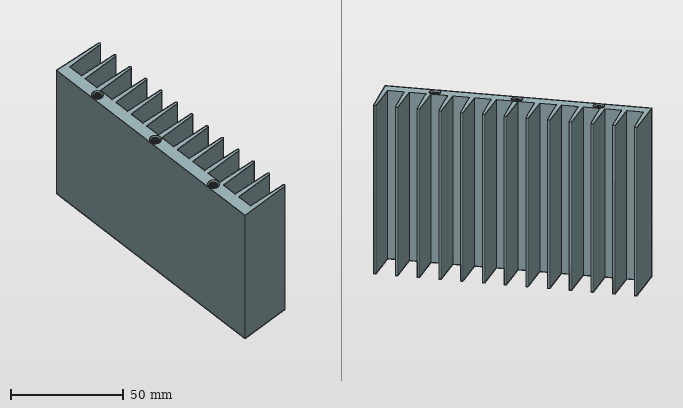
import cadquery as cq

WIDTH = 122.0
DEPTH = 25.6
HEIGHT = 80.0

BASE_THICKNESS = 5.8

FIN_COUNT = 13
FIN_FRONT_WIDTH = 2.74
FIN_TIP_RADIUS = 0.6
FIN_PITCH = (WIDTH - FIN_FRONT_WIDTH) / (FIN_COUNT - 1)

HOLE_COUNT = 3
HOLE_PITCH = 37.5
HOLE_Y = BASE_THICKNESS / 2
MOUTH_RADIUS = 2.6
THREAD_MAJOR_RADIUS = 2.0
THREAD_MINOR_RADIUS = 1.5
THREAD_PITCH = 0.7
THREAD_TURNS = 16
THREAD_CREST_WIDTH = THREAD_PITCH / 4
THREAD_ROOT_WIDTH = THREAD_PITCH / 8
THREAD_FLANK_WIDTH = (THREAD_PITCH - THREAD_CREST_WIDTH - THREAD_ROOT_WIDTH) / 2
COUNTERSINK_DEPTH = MOUTH_RADIUS - THREAD_MAJOR_RADIUS
HOLE_DEPTH = COUNTERSINK_DEPTH + THREAD_TURNS * THREAD_PITCH


def centred_positions(count, pitch):
    """Evenly spaced positions, symmetric about zero."""
    return [(i - (count - 1) / 2) * pitch for i in range(count)]


def make_fin(x):
    """Tapered fin with a round tip, centred on x, reaching through the base to its front face."""
    half_front = FIN_FRONT_WIDTH / 2
    shoulder_y = DEPTH - FIN_TIP_RADIUS
    return (
        cq.Workplane("XY")
        .moveTo(x - half_front, 0)
        .lineTo(x + half_front, 0)
        .lineTo(x + FIN_TIP_RADIUS, shoulder_y)
        .threePointArc((x, DEPTH), (x - FIN_TIP_RADIUS, shoulder_y))
        .close()
        .extrude(HEIGHT)
    )


def make_base(end_fin_x):
    """Plate between the centre planes of the two end fins, whose flanks form its ends."""
    return cq.Workplane("XY").box(
        2 * end_fin_x, BASE_THICKNESS, HEIGHT, centered=(True, False, False)
    )


def make_threaded_hole():
    """Hole cutter along -Z from the origin: a countersink, then a thread of ring-shaped grooves."""
    profile = cq.Workplane("XZ").lineTo(MOUTH_RADIUS, 0)
    for turn in range(THREAD_TURNS):
        root_z = -COUNTERSINK_DEPTH - turn * THREAD_PITCH
        flank_z = root_z - THREAD_ROOT_WIDTH
        crest_z = flank_z - THREAD_FLANK_WIDTH
        profile = (
            profile.lineTo(THREAD_MAJOR_RADIUS, root_z)
            .lineTo(THREAD_MAJOR_RADIUS, flank_z)
            .lineTo(THREAD_MINOR_RADIUS, crest_z)
            .lineTo(THREAD_MINOR_RADIUS, crest_z - THREAD_CREST_WIDTH)
        )
    return (
        profile.lineTo(THREAD_MAJOR_RADIUS, -HOLE_DEPTH)
        .lineTo(0, -HOLE_DEPTH)
        .close()
        .revolve(360, (0, 0, 0), (0, 1, 0))
    )


fin_positions = centred_positions(FIN_COUNT, FIN_PITCH)
result = make_base(fin_positions[-1])
for fin_x in fin_positions:
    result = result.union(make_fin(fin_x))

threaded_hole = make_threaded_hole()
for hole_x in centred_positions(HOLE_COUNT, HOLE_PITCH):
    result = result.cut(threaded_hole.translate((hole_x, HOLE_Y, HEIGHT)))